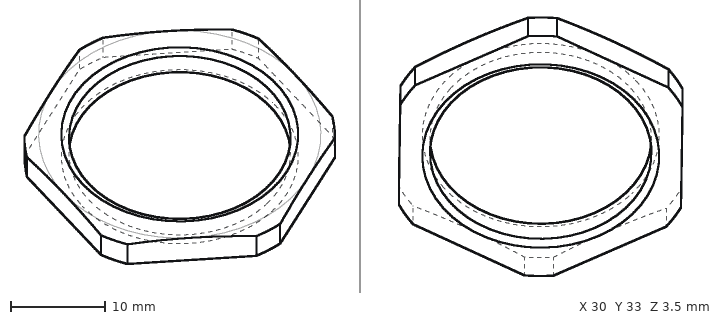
import cadquery as cq
import math

across_flats = 30.0
corner_diameter = 33.0
thickness = 3.5
bore_diameter = 23.53
bore_chamfer_width = 0.82
bore_chamfer_angle = 30.0
crown_angle = 15.0

flat_radius = across_flats / 2
corner_radius = corner_diameter / 2
bore_radius = bore_diameter / 2
crown_drop = (corner_radius - flat_radius) * math.tan(math.radians(crown_angle))
bore_chamfer_depth = bore_chamfer_width * math.tan(math.radians(bore_chamfer_angle))
bore_mouth_radius = bore_radius + bore_chamfer_width


def hexagonal_prism():
    """Hexagon with two flats facing +X and -X."""
    sharp_corner_diameter = across_flats / math.cos(math.radians(30))
    hexagon = cq.Workplane("XY").polygon(6, sharp_corner_diameter).extrude(thickness)
    return hexagon.rotate((0, 0, 0), (0, 0, 1), 30)


def turned_ring():
    """Ring with rounded-off corners, conical crown and bore chamfered at both ends."""
    profile = (
        cq.Workplane("XZ")
        .moveTo(bore_mouth_radius, 0)
        .lineTo(corner_radius, 0)
        .lineTo(corner_radius, thickness - crown_drop)
        .lineTo(flat_radius, thickness)
        .lineTo(bore_mouth_radius, thickness)
        .lineTo(bore_radius, thickness - bore_chamfer_depth)
        .lineTo(bore_radius, bore_chamfer_depth)
        .close()
    )
    return profile.revolve(360, (0, 0, 0), (0, 1, 0))


result = hexagonal_prism().intersect(turned_ring())